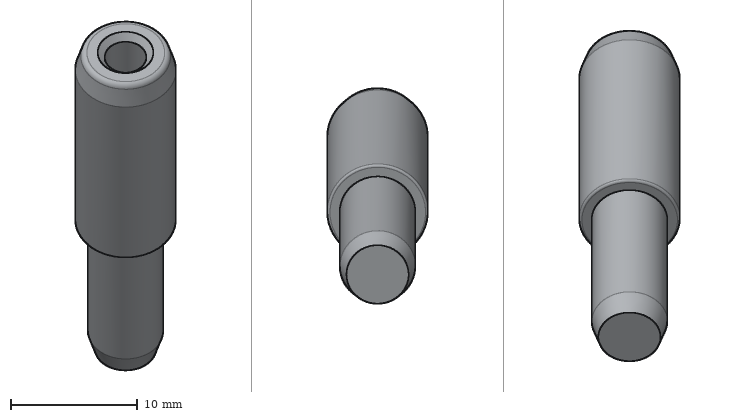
import cadquery as cq
import math

total_length = 35
body_radius = total_length * 4 / 35
body_length = total_length * 4 / 7
pin_radius = 0.75 * body_radius
pin_length = total_length - body_length

taper_length = body_radius / 2
taper_angle = 15
taper_inset = taper_length * math.tan(math.radians(taper_angle))

top_fillet = body_radius / 8
shoulder_fillet = 0.2

bore_radius = 1.65
bore_mouth_radius = 2.2
countersink_depth = bore_mouth_radius - bore_radius
bore_depth = 2.5 * body_radius
drill_point_angle = 118
drill_point_depth = bore_radius / math.tan(math.radians(drill_point_angle / 2))


def revolve_profile(points):
    """Revolve a closed (radius, height) outline about the Z axis."""
    return cq.Workplane("XZ").polyline(points).close().revolve(360, (0, 0), (0, 1))


def stepped_pin():
    """Large body on a thinner pin, tapered at both ends, with rounded top and shoulder edges."""
    outline = [
        (0, 0),
        (pin_radius - taper_inset, 0),
        (pin_radius, taper_length),
        (pin_radius, pin_length),
        (body_radius, pin_length),
        (body_radius, total_length - taper_length),
        (body_radius - taper_inset, total_length),
        (0, total_length),
    ]
    rounded_top = revolve_profile(outline).faces(">Z").edges().fillet(top_fillet)
    shoulder_edge = cq.selectors.RadiusNthSelector(-1)
    return rounded_top.faces("<Z[1]").edges(shoulder_edge).fillet(shoulder_fillet)


def countersunk_bore():
    """Cutter for the bore: 45 degree countersink, straight wall and drill point."""
    bore_bottom = total_length - bore_depth
    outline = [
        (0, bore_bottom - drill_point_depth),
        (bore_radius, bore_bottom),
        (bore_radius, total_length - countersink_depth),
        (bore_mouth_radius, total_length),
        (0, total_length),
    ]
    return revolve_profile(outline)


result = stepped_pin().cut(countersunk_bore())